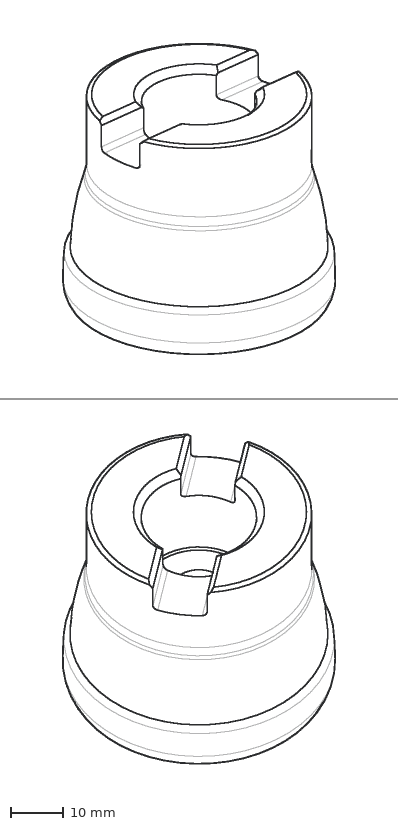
import cadquery as cq


outer_radius = 26.0
total_height = 45.0

ring_height = 12.2
ring_top_radius = 24.6
ring_shoulder_mid = (25.4, 11.85)
ring_shoulder = (25.8, 11.1)
ring_side_mid = (25.95, 8.15)
ring_widest_height = 5.2
ring_corner_mid = (25.8, 3.75)
ring_corner_end = (25.05, 2.2)
ring_base_radius = 18.8

neck_radius = 43.0 / 2
neck_bottom = 30.0
neck_blend_mid = (21.55, 29.0)
cone_top = (21.8, 28.05)
cone_bottom = (22.0, 27.25)
flare_mid = (23.8, 20.0)
rim_chamfer_width = 1.0
rim_chamfer_height = 0.35

through_radius = 10.5 / 2
bore_radius = 22.0 / 2
bore_depth = 20.8
bore_floor_chamfer = 0.4
bore_mouth_radius = 12.5
bore_mouth_height = 1.45

slot_width = 10.5
slot_depth = 6.5
slot_edge_chamfer = 1.05
slot_floor_fillet = 0.95


def revolve_about_z(profile):
    """Turn a closed (radius, height) profile around the Z axis."""
    return profile.close().revolve(360, (0, 0, 0), (0, 1, 0))


def make_cutting_ring():
    """Barrel-sided ring with a rounded, bevelled underside."""
    profile = (
        cq.Workplane("XZ")
        .moveTo(through_radius, 0)
        .lineTo(ring_base_radius, 0)
        .lineTo(*ring_corner_end)
        .threePointArc(ring_corner_mid, (outer_radius, ring_widest_height))
        .threePointArc(ring_side_mid, ring_shoulder)
        .threePointArc(ring_shoulder_mid, (ring_top_radius, ring_height))
        .lineTo(through_radius, ring_height)
    )
    return revolve_about_z(profile)


def make_holder_blank():
    """Flared holder with a cylindrical neck and a stepped bore."""
    bore_floor = total_height - bore_depth
    profile = (
        cq.Workplane("XZ")
        .moveTo(through_radius, ring_height)
        .lineTo(ring_top_radius, ring_height)
        .threePointArc(flare_mid, cone_bottom)
        .lineTo(*cone_top)
        .threePointArc(neck_blend_mid, (neck_radius, neck_bottom))
        .lineTo(neck_radius, total_height - rim_chamfer_height)
        .lineTo(neck_radius - rim_chamfer_width, total_height)
        .lineTo(bore_mouth_radius, total_height)
        .lineTo(bore_radius, total_height - bore_mouth_height)
        .lineTo(bore_radius, bore_floor + bore_floor_chamfer)
        .lineTo(bore_radius - bore_floor_chamfer, bore_floor)
        .lineTo(through_radius, bore_floor)
    )
    return revolve_about_z(profile)


def make_slot_cutter():
    """Slot with rounded floor corners and flared upper edges."""
    half_width = slot_width / 2
    floor = total_height - slot_depth
    length = 2 * outer_radius
    channel = (
        cq.Workplane("XY")
        .box(slot_width, length, slot_depth, centered=(True, True, False))
        .edges("|Y and <Z")
        .fillet(slot_floor_fillet)
        .translate((0, 0, floor))
    )
    edge_flare = (
        cq.Workplane("XZ", origin=(0, length / 2, 0))
        .moveTo(-half_width, total_height - slot_edge_chamfer)
        .lineTo(half_width, total_height - slot_edge_chamfer)
        .lineTo(half_width + slot_edge_chamfer, total_height)
        .lineTo(-half_width - slot_edge_chamfer, total_height)
        .close()
        .extrude(length)
    )
    return channel.union(edge_flare)


cutting_ring = make_cutting_ring()
holder = make_holder_blank().cut(make_slot_cutter())

result = cq.Compound.makeCompound([cutting_ring.val(), *holder.solids().vals()])